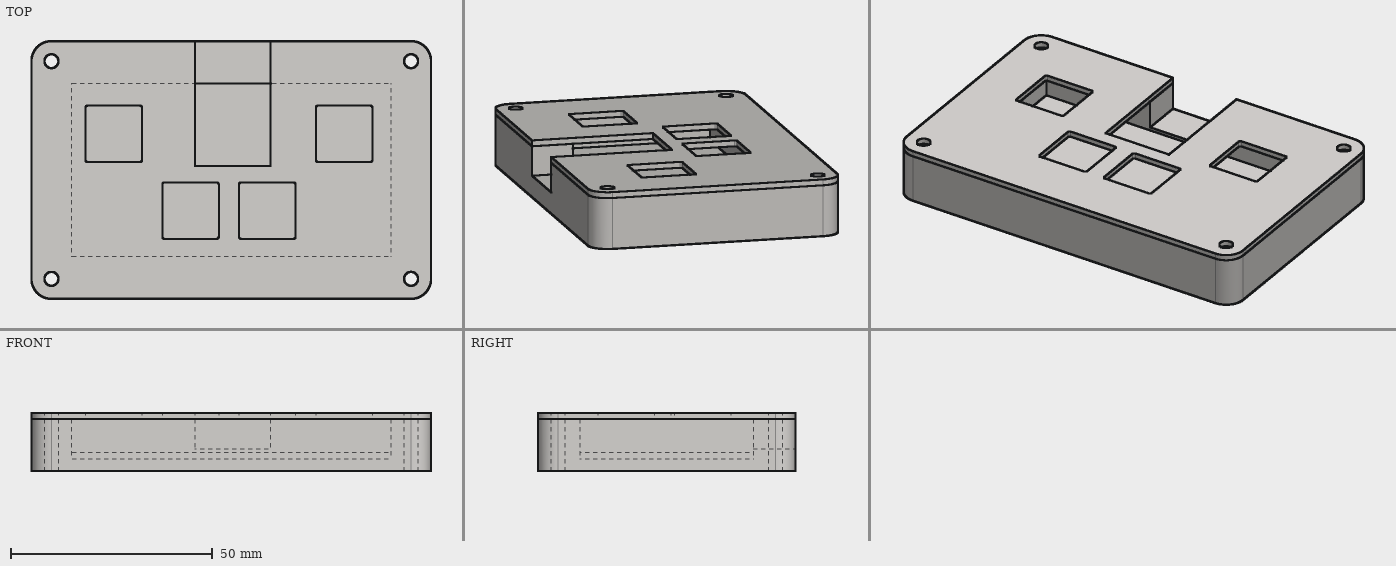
import cadquery as cq

length = 99.21
width = 64.0
corner_radius = 5.0
case_height = 13.0
plate_thickness = 1.5

screw_inset = 5.0
screw_diameter = 3.4

key_size = 14.0
key_corner_radius = 0.5
key_pitch = 19.05
key_origin = (-10.1, -10.08)
key_cells = [(-1, 1), (0, 0), (1, 0), (2, 1)]

slot_width = 18.7
slot_center_x = 0.4
slot_depth = 31.0
slot_floor = 5.5

rear_wall = 10.5
side_wall = 10.0
cavity_floor = 3.0
board_thickness = 1.6

rear_y = width / 2
cavity_length = length - 2 * side_wall
cavity_width = width - 2 * rear_wall
screw_points = [
    (side_x * (length / 2 - screw_inset), side_y * (width / 2 - screw_inset))
    for side_x in (-1, 1)
    for side_y in (-1, 1)
]
key_points = [
    (key_origin[0] + column * key_pitch, key_origin[1] + row * key_pitch)
    for column, row in key_cells
]


def rounded_slab(base_z, height):
    """Slab with the outer outline and the four screw holes."""
    slab = cq.Workplane("XY", origin=(0, 0, base_z)).rect(length, width).extrude(height)
    slab = slab.edges("|Z").fillet(corner_radius)
    holes = (
        cq.Workplane("XY", origin=(0, 0, base_z))
        .pushPoints(screw_points)
        .circle(screw_diameter / 2)
        .extrude(height)
    )
    return slab.cut(holes)


def cavity_block(base_z, height):
    """Block that fills the cavity in plan."""
    return cq.Workplane("XY", origin=(0, 0, base_z)).rect(cavity_length, cavity_width).extrude(height)


def rear_slot(depth, base_z, height):
    """Block of the slot's width, running in from the rear face."""
    return (
        cq.Workplane("XY", origin=(slot_center_x, rear_y - depth / 2, base_z))
        .rect(slot_width, depth)
        .extrude(height)
    )


def make_case():
    """Open-topped case with a notch through its rear wall."""
    case = rounded_slab(0, case_height)
    case = case.cut(cavity_block(cavity_floor, case_height - cavity_floor))
    return case.cut(rear_slot(rear_wall, slot_floor, case_height - slot_floor))


def make_board():
    """Circuit board that fills the cavity floor."""
    return cavity_block(cavity_floor, board_thickness)


def make_plate():
    """Cover plate with square key openings and the rear slot."""
    plate = rounded_slab(case_height, plate_thickness)
    keys = (
        cq.Workplane("XY", origin=(0, 0, case_height))
        .pushPoints(key_points)
        .rect(key_size, key_size)
        .extrude(plate_thickness)
        .edges("|Z")
        .fillet(key_corner_radius)
    )
    return plate.cut(keys).cut(rear_slot(slot_depth, case_height, plate_thickness))


case = make_case()
board = make_board()
plate = make_plate()
result = cq.Compound.makeCompound([case.val(), board.val(), plate.val()])